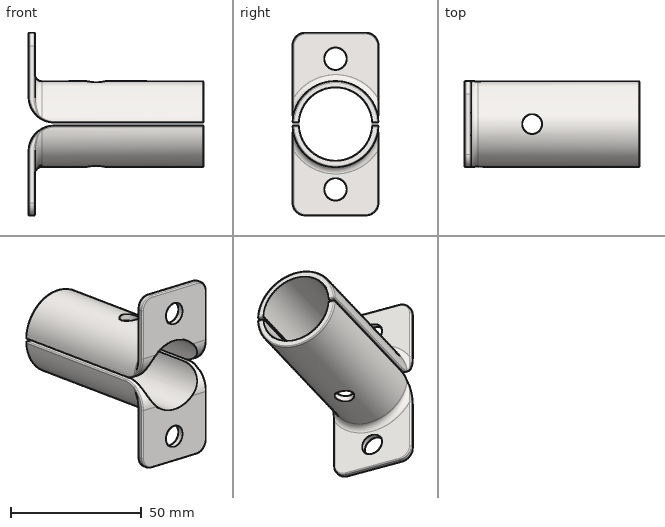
import cadquery as cq
import math

flange_thickness = 2.5
bore_radius = 14.0
overall_length = 67.0
overall_width = 33.0
overall_height = 70.0
split_gap = 1.05
bend_radius = 10.0
root_fillet = 2.5
corner_radius = 5.0
edge_fillet = 0.5
flange_hole_diameter = 8.5
flange_hole_height = 25.0
tube_hole_diameter = 7.5
tube_hole_x = 25.9

tube_radius = overall_width / 2
half_height = overall_height / 2
split_z = split_gap / 2


def tube_with_root():
    """Tube around X, flaring into the flange through the concave fillet."""
    arc_middle = root_fillet * (1 - math.sqrt(0.5))
    return (
        cq.Workplane("XY")
        .lineTo(0, tube_radius + root_fillet)
        .lineTo(flange_thickness, tube_radius + root_fillet)
        .threePointArc(
            (flange_thickness + arc_middle, tube_radius + arc_middle),
            (flange_thickness + root_fillet, tube_radius),
        )
        .lineTo(overall_length, tube_radius)
        .lineTo(overall_length, 0)
        .close()
        .revolve(360, (0, 0, 0), (1, 0, 0))
    )


def flange():
    """Flat plate standing up from the split, with rounded upper corners."""
    return (
        cq.Workplane("XY")
        .box(flange_thickness, overall_width, half_height, centered=(False, True, False))
        .edges("|X and >Z")
        .fillet(corner_radius)
    )


def side_envelope():
    """Block that trims the half to its width, split plane and rounded mouth."""
    return (
        cq.Workplane("XZ")
        .moveTo(0, half_height)
        .lineTo(0, split_z + bend_radius)
        .radiusArc((bend_radius, split_z), -bend_radius)
        .lineTo(overall_length, split_z)
        .lineTo(overall_length, half_height)
        .close()
        .extrude(overall_width / 2, both=True)
    )


def bore():
    return cq.Workplane("YZ").circle(bore_radius).extrude(overall_length)


def flange_hole():
    return (
        cq.Workplane("YZ")
        .center(0, flange_hole_height)
        .circle(flange_hole_diameter / 2)
        .extrude(flange_thickness)
    )


def tube_hole():
    return (
        cq.Workplane("XY")
        .center(tube_hole_x, 0)
        .circle(tube_hole_diameter / 2)
        .extrude(half_height)
    )


def clamp_half():
    """Upper half of the clamp, with every outer edge rounded."""
    blank = tube_with_root().union(flange()).intersect(side_envelope())
    flange_rims = "(|Y and >Z)"
    split_edges = "(|X and <Z)"
    tube_end = "(>X)"
    rounded = blank.edges(f"{flange_rims} or {split_edges} or {tube_end}").fillet(edge_fillet)
    return rounded.cut(bore()).cut(flange_hole()).cut(tube_hole())


halves = []
for turn in (0, 180):
    halves.append(clamp_half().rotate((0, 0, 0), (1, 0, 0), turn).solids().val())

result = cq.Compound.makeCompound(halves)